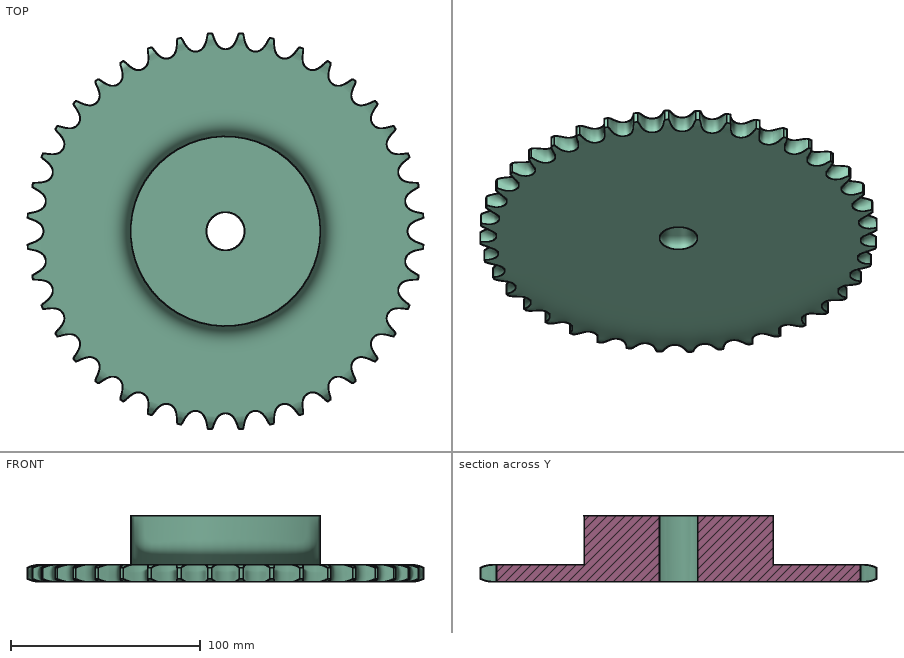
import cadquery as cq
import math

chain_pitch = 15.875
roller_diameter = 10.16
tooth_count = 40

tip_diameter = 209.3
plate_thickness = 9.1
hub_diameter = 100.0
overall_height = 35.0
bore_diameter = 20.0

side_relief_radius = 16.0
side_relief_depth = 1.6

trim_allowance = 1.0

pitch_angle = 2 * math.pi / tooth_count
pitch_radius = chain_pitch / (2 * math.sin(pitch_angle / 2))
tip_radius = tip_diameter / 2

seating_clearance = 0.0762
seat_radius = (1.005 * roller_diameter + seating_clearance) / 2
seat_end_angle = math.radians(35 + 60 / tooth_count)
working_sweep = math.radians(18 - 56 / tooth_count)
topping_angle = math.radians(17 - 64 / tooth_count)
working_centre_offset = 0.8 * roller_diameter
working_radius = working_centre_offset + seat_radius
topping_centre_offset = 1.4 * roller_diameter
straight_length = (
    topping_centre_offset * math.sin(topping_angle)
    - working_centre_offset * math.sin(working_sweep)
)
topping_radius = (
    working_centre_offset * math.cos(working_sweep)
    + topping_centre_offset * math.cos(topping_angle)
    - working_radius
)


def offset(point, distance, direction):
    """Move a point by a distance along a direction given as an angle from +X."""
    return (point[0] + distance * math.cos(direction), point[1] + distance * math.sin(direction))


def rotate(point, angle):
    """Turn a point about the sprocket axis."""
    x, y = point
    return (x * math.cos(angle) - y * math.sin(angle), x * math.sin(angle) + y * math.cos(angle))


def mirror(point):
    """Reflect a point across the X axis, the centre line of the first gap."""
    return (point[0], -point[1])


def flank_points():
    """Points along one flank of the gap centred on +X, from the roller seat to the tip circle.

    Order: seat end, working middle, working end, straight end, topping middle, tip corner.
    """
    roller_centre = (pitch_radius, 0)
    seat_end_direction = math.pi / 2 + seat_end_angle
    seat_end = offset(roller_centre, seat_radius, seat_end_direction)

    working_centre = offset(roller_centre, -working_centre_offset, seat_end_direction)
    flank_normal = seat_end_direction - working_sweep
    working_middle = offset(working_centre, working_radius, seat_end_direction - working_sweep / 2)
    working_end = offset(working_centre, working_radius, flank_normal)
    straight_end = offset(working_end, straight_length, flank_normal - math.pi / 2)

    topping_centre = offset(straight_end, topping_radius, flank_normal)
    centre_distance = math.hypot(*topping_centre)
    side_squares = tip_radius**2 + centre_distance**2 - topping_radius**2
    corner_cosine = side_squares / (2 * tip_radius * centre_distance)
    corner_angle = math.atan2(topping_centre[1], topping_centre[0]) - math.acos(corner_cosine)
    tip_corner = offset((0, 0), tip_radius, corner_angle)

    topping_start = flank_normal - math.pi
    topping_end = math.atan2(tip_corner[1] - topping_centre[1], tip_corner[0] - topping_centre[0])
    topping_middle = offset(topping_centre, topping_radius, (topping_start + topping_end) / 2)
    return seat_end, working_middle, working_end, straight_end, topping_middle, tip_corner


def toothed_plate():
    """Sprocket plate: a toothed prism trimmed to the plate faces and relieved tooth sides.

    The rim runs through every gap and across every tooth tip. The prism is taller than the
    plate on both sides, so that the trimming disc alone sets the faces.
    """
    seat_end, working_middle, working_end, straight_end, topping_middle, tip_corner = flank_points()
    seat_bottom = (pitch_radius - seat_radius, 0)
    tip_middle = offset((0, 0), tip_radius, pitch_angle / 2)
    next_tip_corner = rotate(mirror(tip_corner), pitch_angle)

    rim_segments = [
        (mirror(topping_middle), mirror(straight_end)),
        (None, mirror(working_end)),
        (mirror(working_middle), mirror(seat_end)),
        (seat_bottom, seat_end),
        (working_middle, working_end),
        (None, straight_end),
        (topping_middle, tip_corner),
        (tip_middle, next_tip_corner),
    ]

    outline = cq.Workplane("XY").moveTo(*mirror(tip_corner))
    for gap in range(tooth_count):
        angle = gap * pitch_angle
        for middle, end in rim_segments:
            if middle is None:
                outline = outline.lineTo(*rotate(end, angle))
            else:
                outline = outline.threePointArc(rotate(middle, angle), rotate(end, angle))
    prism = outline.close().extrude(plate_thickness + 2 * trim_allowance)
    return prism.translate((0, 0, -trim_allowance)).intersect(relief_envelope())


def relief_envelope():
    """Disc whose two rims curve inward, tangent to the plate faces."""
    relief_width = math.sqrt(side_relief_radius**2 - (side_relief_radius - side_relief_depth) ** 2)
    relief_start = tip_radius - relief_width
    half_sweep = math.asin(relief_width / side_relief_radius) / 2
    middle_radius = relief_start + side_relief_radius * math.sin(half_sweep)
    middle_drop = side_relief_radius * (1 - math.cos(half_sweep))
    return (
        cq.Workplane("XZ")
        .lineTo(relief_start, 0)
        .threePointArc((middle_radius, middle_drop), (tip_radius, side_relief_depth))
        .lineTo(tip_radius, plate_thickness - side_relief_depth)
        .threePointArc((middle_radius, plate_thickness - middle_drop), (relief_start, plate_thickness))
        .lineTo(0, plate_thickness)
        .close()
        .revolve(360, (0, 0), (0, 1))
    )


def hub():
    """Cylinder that rises from the underside of the plate to the full height."""
    return cq.Workplane("XY").circle(hub_diameter / 2).extrude(overall_height)


def bore():
    """Through hole on the sprocket axis."""
    return cq.Workplane("XY").circle(bore_diameter / 2).extrude(overall_height)


result = toothed_plate().union(hub()).cut(bore())